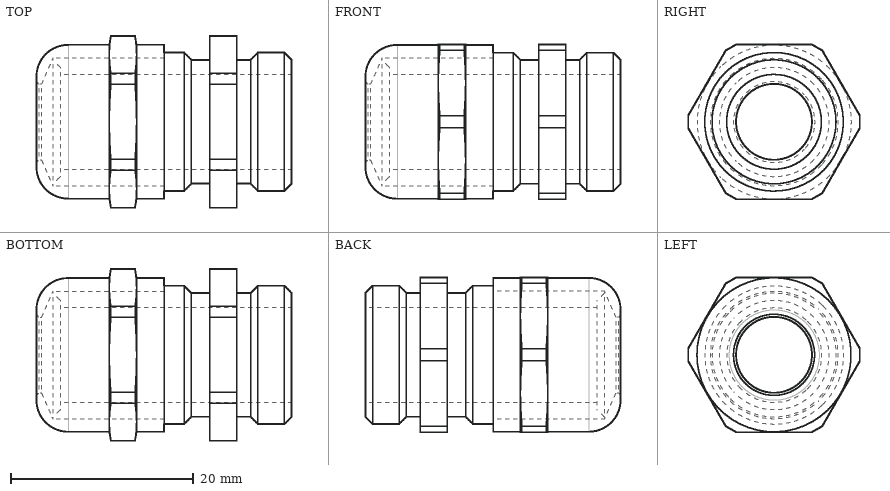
import cadquery as cq
import math


ACROSS_FLATS = 17.0
ACROSS_CORNERS = 18.85

NUT_LENGTH = 14.0
NUT_RADIUS = 8.45
DOME_RADIUS = 3.5
NUT_HEX_START = 8.0
HEX_THICKNESS = 3.0
HEX_CHAMFER_ANGLE = 10.0

LIP_RADIUS = 4.15
LIP_CHAMFER_DEPTH = 0.25
LIP_CHAMFER_WIDTH = 0.3
LIP_END = 0.55

SLEEVE_START = 1.8
SLEEVE_RADIUS = 7.0
COUNTERSINK_DEPTH = 0.8
SEAT_RADIUS = 6.0
BORE_RADIUS = 5.2

BODY_END = 28.0
THREAD_RADIUS = 7.6
GROOVE_RADIUS = 6.8
THREAD_CHAMFER = THREAD_RADIUS - GROOVE_RADIUS
GROOVE_START = 17.0
GROOVE_END = 23.5
BODY_HEX_START = 19.0


def revolve_about_x(profile):
    """Turn a closed (x, radius) profile into a solid of revolution around X."""
    return profile.close().revolve(360, (0, 0, 0), (1, 0, 0))


def hex_prism(start, across_flats, turn):
    """Hexagonal prism along X; at zero turn it has flats facing +Z and -Z."""
    corner_diameter = across_flats / math.cos(math.radians(30))
    prism = cq.Workplane("YZ").polygon(6, corner_diameter).extrude(HEX_THICKNESS)
    return prism.rotate((0, 0, 0), (1, 0, 0), turn).translate((start, 0, 0))


def hexagon_with_cut_corners(start):
    flats = hex_prism(start, ACROSS_FLATS, 0)
    corner_cuts = hex_prism(start, ACROSS_CORNERS, 30)
    return flats.intersect(corner_cuts)


def chamfered_nut_hexagon():
    """Nut hexagon whose corners are turned back conically on both end faces."""
    end = NUT_HEX_START + HEX_THICKNESS
    rim_radius = ACROSS_FLATS / math.sqrt(3)
    chamfer_depth = (rim_radius - NUT_RADIUS) * math.tan(math.radians(HEX_CHAMFER_ANGLE))
    turned_blank = revolve_about_x(
        cq.Workplane("XY")
        .moveTo(NUT_HEX_START, 0)
        .lineTo(NUT_HEX_START, NUT_RADIUS)
        .lineTo(NUT_HEX_START + chamfer_depth, rim_radius)
        .lineTo(end - chamfer_depth, rim_radius)
        .lineTo(end, NUT_RADIUS)
        .lineTo(end, 0)
    )
    return hexagon_with_cut_corners(NUT_HEX_START).intersect(turned_blank)


def make_clamping_nut():
    dome_edge = NUT_RADIUS - DOME_RADIUS
    arc_offset = DOME_RADIUS * math.sqrt(0.5)
    outside = revolve_about_x(
        cq.Workplane("XY")
        .lineTo(0, dome_edge)
        .threePointArc(
            (DOME_RADIUS - arc_offset, dome_edge + arc_offset),
            (DOME_RADIUS, NUT_RADIUS),
        )
        .lineTo(NUT_LENGTH, NUT_RADIUS)
        .lineTo(NUT_LENGTH, 0)
    )
    cavity = revolve_about_x(
        cq.Workplane("XY")
        .lineTo(0, LIP_RADIUS + LIP_CHAMFER_WIDTH)
        .lineTo(LIP_CHAMFER_DEPTH, LIP_RADIUS)
        .lineTo(LIP_END, LIP_RADIUS)
        .lineTo(SLEEVE_START, SLEEVE_RADIUS)
        .lineTo(NUT_LENGTH, SLEEVE_RADIUS)
        .lineTo(NUT_LENGTH, 0)
    )
    return outside.union(chamfered_nut_hexagon()).cut(cavity)


def make_body():
    outside = revolve_about_x(
        cq.Workplane("XY")
        .moveTo(SLEEVE_START, 0)
        .lineTo(SLEEVE_START, SLEEVE_RADIUS)
        .lineTo(NUT_LENGTH, SLEEVE_RADIUS)
        .lineTo(NUT_LENGTH, THREAD_RADIUS)
        .lineTo(GROOVE_START - THREAD_CHAMFER, THREAD_RADIUS)
        .lineTo(GROOVE_START, GROOVE_RADIUS)
        .lineTo(GROOVE_END, GROOVE_RADIUS)
        .lineTo(GROOVE_END + THREAD_CHAMFER, THREAD_RADIUS)
        .lineTo(BODY_END - THREAD_CHAMFER, THREAD_RADIUS)
        .lineTo(BODY_END, THREAD_RADIUS - THREAD_CHAMFER)
        .lineTo(BODY_END, 0)
    )
    seat_x = SLEEVE_START + COUNTERSINK_DEPTH
    passage = revolve_about_x(
        cq.Workplane("XY")
        .moveTo(SLEEVE_START, 0)
        .lineTo(SLEEVE_START, SEAT_RADIUS + COUNTERSINK_DEPTH)
        .lineTo(seat_x, SEAT_RADIUS)
        .lineTo(seat_x, BORE_RADIUS)
        .lineTo(BODY_END, BORE_RADIUS)
        .lineTo(BODY_END, 0)
    )
    return outside.union(hexagon_with_cut_corners(BODY_HEX_START)).cut(passage)


clamping_nut = make_clamping_nut()
body = make_body()

result = cq.Compound.makeCompound([clamping_nut.val(), body.val()])